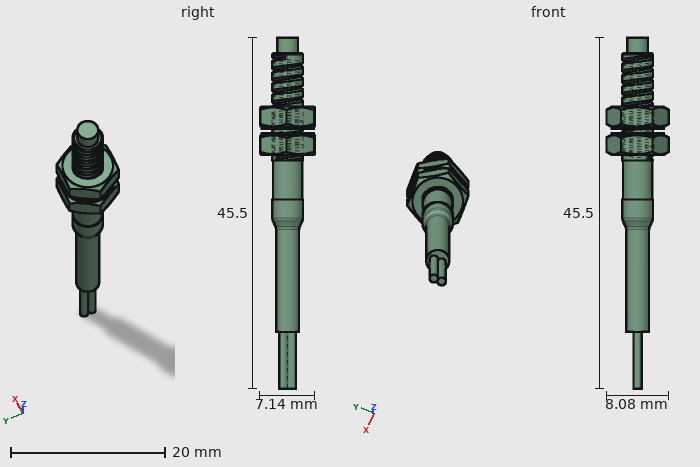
import cadquery as cq
import math

TOTAL_LENGTH = 45.5
TIP_LENGTH = 2.0
CABLE_END_Z = 7.35
COLLAR_TOP_Z = 24.55
THREAD_BOTTOM_Z = 29.6
HOUSING_TOP_Z = TOTAL_LENGTH - TIP_LENGTH

TIP_RADIUS = 1.35

THREAD_RADIUS = 2.0
SHANK_RADIUS = 1.9
TOP_CHAMFER = 0.25

PITCH = 1.45
GROOVE_TURNS = 9.1
GROOVE_START_Z = 29.75
GROOVE_START_ANGLE = -45.0
GROOVE_WIDTH = 0.65
GROOVE_DEPTH = 0.3
GROOVE_OVERCUT = 0.1

CABLE_RADIUS = 1.5
COLLAR_RADIUS = THREAD_RADIUS
TAPER_TOP_Z = 21.95
TAPER_BOTTOM_Z = 20.85
TAPER_BLEND_RADIUS = 0.9

WIRE_RADIUS = 0.55

NUT_SIDES = 6
NUT_WIDTH_ACROSS_FLATS = 7.0
NUT_HEIGHT = 2.9
NUT_TURN = -2.1
NUT_FACE_RADIUS = 3.28
NUT_CHAMFER_ANGLE = 30.0
NUT_COLLAR_RADIUS = 3.4
NUT_COLLAR_HEIGHT = 0.27
NUT_GAP = 0.5
LOWER_NUT_Z = 30.25


def cylinder(radius, bottom_z, top_z):
    return cq.Workplane("XY").workplane(offset=bottom_z).circle(radius).extrude(top_z - bottom_z)


def make_tip():
    return cylinder(TIP_RADIUS, HOUSING_TOP_Z, TOTAL_LENGTH)


def make_thread_groove():
    root_radius = THREAD_RADIUS - GROOVE_DEPTH
    outer_radius = THREAD_RADIUS + GROOVE_OVERCUT
    half_width = GROOVE_WIDTH / 2 * (GROOVE_DEPTH + GROOVE_OVERCUT) / GROOVE_DEPTH
    helix = cq.Wire.makeHelix(
        PITCH, PITCH * GROOVE_TURNS, root_radius, center=cq.Vector(0, 0, GROOVE_START_Z)
    )
    section = cq.Workplane("XZ").polyline(
        [
            (root_radius, GROOVE_START_Z),
            (outer_radius, GROOVE_START_Z - half_width),
            (outer_radius, GROOVE_START_Z + half_width),
        ]
    ).close()
    groove = section.sweep(cq.Workplane(helix), isFrenet=True)
    return groove.rotate((0, 0, 0), (0, 0, 1), GROOVE_START_ANGLE)


def make_housing():
    threaded_rod = cylinder(THREAD_RADIUS, THREAD_BOTTOM_Z, HOUSING_TOP_Z)
    threaded_rod = threaded_rod.faces(">Z").chamfer(TOP_CHAMFER)
    shank = cylinder(SHANK_RADIUS, COLLAR_TOP_Z, THREAD_BOTTOM_Z)
    return threaded_rod.cut(make_thread_groove()).union(shank)


def make_cable():
    profile = cq.Workplane("XZ").polyline(
        [
            (0, CABLE_END_Z),
            (CABLE_RADIUS, CABLE_END_Z),
            (CABLE_RADIUS, TAPER_BOTTOM_Z),
            (COLLAR_RADIUS, TAPER_TOP_Z),
            (COLLAR_RADIUS, COLLAR_TOP_Z),
            (0, COLLAR_TOP_Z),
        ]
    ).close()
    cable = profile.revolve(360, (0, 0, 0), (0, 1, 0))
    taper_band = cq.selectors.BoxSelector(
        (-COLLAR_RADIUS, -COLLAR_RADIUS, CABLE_END_Z + TAPER_BLEND_RADIUS),
        (COLLAR_RADIUS, COLLAR_RADIUS, COLLAR_TOP_Z - TAPER_BLEND_RADIUS),
    )
    return cable.edges("%CIRCLE").edges(taper_band).fillet(TAPER_BLEND_RADIUS)


def make_wire(side):
    return cylinder(WIRE_RADIUS, 0, CABLE_END_Z).translate((0, side * WIRE_RADIUS, 0))


def make_nut():
    """Hexagon nut standing on its round collar at Z = 0, with both faces chamfered."""
    corner_radius = NUT_WIDTH_ACROSS_FLATS / 2 / math.cos(math.pi / NUT_SIDES)
    slope = math.tan(math.radians(NUT_CHAMFER_ANGLE))
    hexagon = (
        cq.Workplane("XY")
        .polygon(NUT_SIDES, 2 * corner_radius)
        .extrude(NUT_HEIGHT)
        .rotate((0, 0, 0), (0, 0, 1), NUT_TURN)
    )
    turned_blank = (
        cq.Workplane("XZ")
        .polyline(
            [
                (THREAD_RADIUS, 0),
                (NUT_COLLAR_RADIUS, 0),
                (NUT_COLLAR_RADIUS, NUT_COLLAR_HEIGHT),
                (corner_radius, NUT_COLLAR_HEIGHT + (corner_radius - NUT_COLLAR_RADIUS) * slope),
                (corner_radius, NUT_HEIGHT - (corner_radius - NUT_FACE_RADIUS) * slope),
                (NUT_FACE_RADIUS, NUT_HEIGHT),
                (THREAD_RADIUS, NUT_HEIGHT),
            ]
        )
        .close()
        .revolve(360, (0, 0, 0), (0, 1, 0))
    )
    return hexagon.intersect(turned_blank)


def make_lock_nuts():
    """Two nuts whose collars face each other across the gap between them."""
    middle_z = LOWER_NUT_Z + NUT_HEIGHT + NUT_GAP / 2
    upper_nut = make_nut().translate((0, 0, middle_z + NUT_GAP / 2))
    lower_nut = upper_nut.mirror("XY", (0, 0, middle_z))
    return [upper_nut, lower_nut]


tip = make_tip()
housing = make_housing()
cable = make_cable()
wires = [make_wire(side) for side in (-1, 1)]
lock_nuts = make_lock_nuts()

result = cq.Compound.makeCompound(
    [
        tip.val(),
        housing.val(),
        cable.val(),
        *[wire.val() for wire in wires],
        *[nut.val() for nut in lock_nuts],
    ]
)